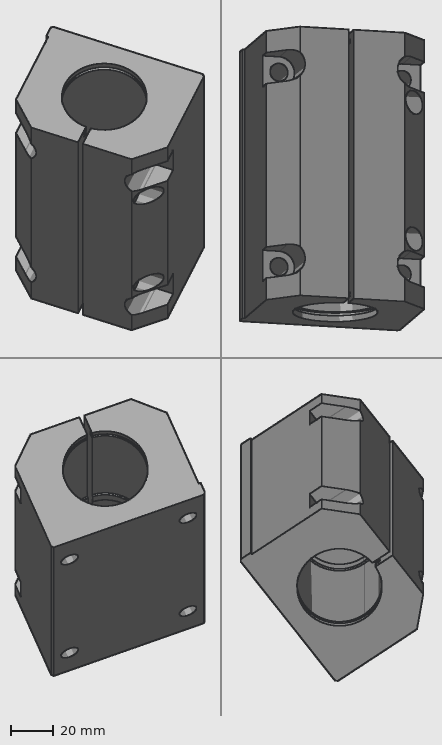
import cadquery as cq

WIDTH = 78.0
DEPTH = 60.0
LENGTH = 130.0
RIGHT = WIDTH / 2
BACK = DEPTH / 2
FRONT = -BACK
TOP = LENGTH / 2

LEDGE_WIDTH = 1.0
LEDGE_DEPTH = 6.5
BACK_CHAMFER = 1.0
FRONT_CHAMFER = 13.0

BORE_DIAMETER = 40.0
STOP_DIAMETER = 38.0
STOP_WIDTH = 5.2
GROOVE_DIAMETER = 45.0
GROOVE_WIDTH = 1.85
GROOVE_INSET = 2.9
SLOT_WIDTH = 2.4

MOUNT_X = 30.0
MOUNT_Z = 47.0
MOUNT_DIAMETER = 8.6
POCKET_WIDTH = 15.0
POCKET_DEPTH = 20.0

CLAMP_Z = 33.0
CLAMP_DIAMETER = 11.0
CLAMP_X = 32.2
CLAMP_FLOOR_X = RIGHT - FRONT_CHAMFER
CLAMP_Y = FRONT + CLAMP_X - CLAMP_FLOOR_X


def make_block():
    """Extrude the outline with its chamfered corners and left ledge."""
    left = -RIGHT + LEDGE_WIDTH
    outline = [
        (left + FRONT_CHAMFER, FRONT),
        (RIGHT - FRONT_CHAMFER, FRONT),
        (RIGHT, FRONT + FRONT_CHAMFER),
        (RIGHT, BACK - BACK_CHAMFER),
        (RIGHT - BACK_CHAMFER, BACK),
        (-RIGHT + BACK_CHAMFER, BACK),
        (-RIGHT, BACK - BACK_CHAMFER),
        (-RIGHT, BACK - LEDGE_DEPTH),
        (left, BACK - LEDGE_DEPTH),
        (left, FRONT + FRONT_CHAMFER),
    ]
    return cq.Workplane("XY").polyline(outline).close().extrude(TOP, both=True)


def disc(diameter, bottom, height):
    """Cylinder on the bore axis."""
    return cq.Workplane("XY").workplane(offset=bottom).circle(diameter / 2).extrude(height)


def make_bore():
    """Two bearing seats, each with a ring groove, parted by a stop collar; plus the clamping slot."""
    bore = disc(STOP_DIAMETER, -TOP, LENGTH)
    seat_bottom = STOP_WIDTH / 2
    seat = disc(BORE_DIAMETER, seat_bottom, TOP - seat_bottom)
    groove = disc(GROOVE_DIAMETER, TOP - GROOVE_INSET - GROOVE_WIDTH, GROOVE_WIDTH)
    for cutter in (seat, groove):
        bore = bore.union(cutter).union(cutter.mirror("XY"))
    slot = cq.Workplane("XY").box(SLOT_WIDTH, BACK, LENGTH).translate((0, FRONT / 2, 0))
    return bore.union(slot)


def make_mount(side, z):
    """Through hole along Y and its head pocket, open to the given side (+1 or -1)."""
    front_plane = cq.Workplane("XZ", origin=(side * MOUNT_X, FRONT, z))
    hole = front_plane.circle(MOUNT_DIAMETER / 2).extrude(-DEPTH)
    pocket = front_plane.circle(POCKET_WIDTH / 2).extrude(-POCKET_DEPTH)
    opening_length = RIGHT - MOUNT_X
    opening = (
        front_plane.center(side * opening_length / 2, 0)
        .rect(opening_length, POCKET_WIDTH)
        .extrude(-POCKET_DEPTH)
    )
    return hole.union(pocket).union(opening)


def make_clamp_hole(z):
    """Blind screw hole entering from the right."""
    floor_plane = cq.Workplane("YZ", origin=(CLAMP_FLOOR_X, CLAMP_Y, z))
    return floor_plane.circle(CLAMP_DIAMETER / 2).extrude(FRONT_CHAMFER)


result = make_block().cut(make_bore())
for end in (-1, 1):
    result = result.cut(make_clamp_hole(end * CLAMP_Z))
    for side in (-1, 1):
        result = result.cut(make_mount(side, end * MOUNT_Z))